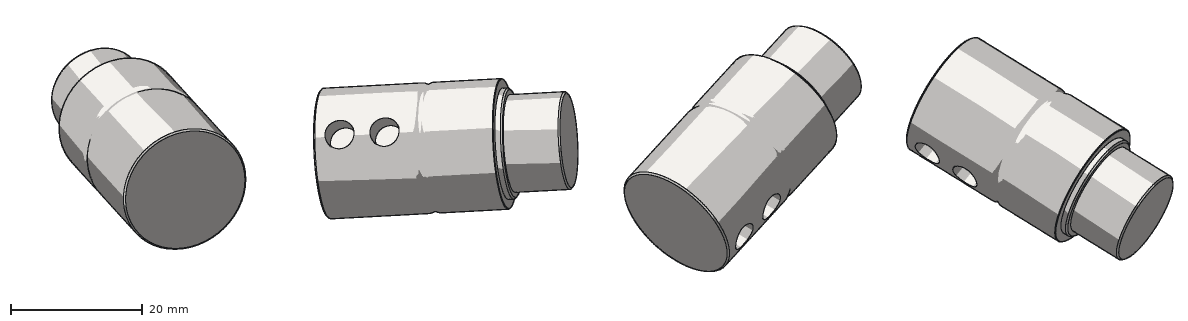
import cadquery as cq
import math

total_length = 37.8
body_diameter = 20.0
body_radius = body_diameter / 2
spigot_radius = 7.5
collar_radius = 8.5
collar_start = 8.77
body_start = 9.85
edge_chamfer = 0.25
shoulder_chamfer = 0.1

groove_center = 21.32
lip_radius = 1.17
bottom_radius = 0.68
flank_angle = math.radians(31)

hole_diameter = 4.5
hole_depth = hole_diameter
hole_spacing = 7.0
first_hole_x = 26.72
hole_count = 2


def cylinder(start, end, radius):
    """Solid cylinder along X between two stations."""
    return cq.Workplane("YZ", origin=(start, 0, 0)).circle(radius).extrude(end - start)


def ring_groove():
    """Ring of material to remove; each lip arc meets the bottom arc tangentially."""
    def arc_point(radius, angle):
        return radius * math.sin(angle), radius * (1 - math.cos(angle))

    lip_run, lip_drop = arc_point(lip_radius, flank_angle)
    lip_mid_run, lip_mid_drop = arc_point(lip_radius, flank_angle / 2)
    bottom_run, bottom_drop = arc_point(bottom_radius, flank_angle)
    half_width = lip_run + bottom_run
    left = groove_center - half_width
    right = groove_center + half_width
    lip_end_y = body_radius - lip_drop
    lip_mid_y = body_radius - lip_mid_drop
    return (
        cq.Workplane("XY")
        .moveTo(left, body_radius)
        .threePointArc((left + lip_mid_run, lip_mid_y), (left + lip_run, lip_end_y))
        .threePointArc(
            (groove_center, lip_end_y - bottom_drop), (right - lip_run, lip_end_y)
        )
        .threePointArc((right - lip_mid_run, lip_mid_y), (right, body_radius))
        .lineTo(right, body_radius + lip_radius)
        .lineTo(left, body_radius + lip_radius)
        .close()
        .revolve(360, (0, 0, 0), (1, 0, 0))
    )


def radial_hole(x):
    """Flat-bottomed hole bored inward from the +Y side."""
    return (
        cq.Workplane("XZ", origin=(x, body_radius, 0))
        .circle(hole_diameter / 2)
        .extrude(hole_depth)
    )


spigot = cylinder(0, collar_start, spigot_radius).faces("<X").chamfer(edge_chamfer)
collar = cylinder(collar_start, body_start, collar_radius).faces("<X").chamfer(edge_chamfer)
body = cylinder(body_start, total_length, body_radius)
body = body.faces("<X").chamfer(shoulder_chamfer).faces(">X").chamfer(edge_chamfer)

result = spigot.union(collar).union(body).cut(ring_groove())
for index in range(hole_count):
    result = result.cut(radial_hole(first_hole_x + index * hole_spacing))